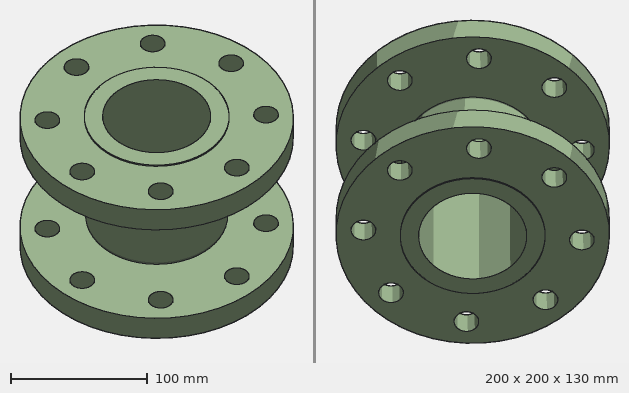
import cadquery as cq

total_height = 130.0
bore_diameter = 79.0

flange_diameter = 200.0
flange_thickness = 20.0
raised_face_diameter = 106.0
raised_face_height = 1.2

neck_diameter = 81.5
barrel_diameter = 104.0
barrel_height = 72.0
neck_fillet = 3.2
barrel_fillet = 3.0

bolt_count = 8
bolt_hole_diameter = 18.0
bolt_circle_diameter = 160.0

flange_outer_z = total_height / 2 - raised_face_height
flange_inner_z = flange_outer_z - flange_thickness


def disc(diameter, bottom_z, top_z):
    """Solid cylinder on the Z axis between two heights."""
    return cq.Workplane("XY", origin=(0, 0, bottom_z)).circle(diameter / 2).extrude(top_z - bottom_z)


def make_body():
    """Revolved barrel and necks, with rounded rims and necks blended into the barrel ends."""
    neck_radius = neck_diameter / 2
    barrel_radius = barrel_diameter / 2
    barrel_end_z = barrel_height / 2
    upper_half = (
        cq.Workplane("XZ")
        .lineTo(barrel_radius, 0)
        .lineTo(barrel_radius, barrel_end_z - barrel_fillet)
        .radiusArc((barrel_radius - barrel_fillet, barrel_end_z), -barrel_fillet)
        .lineTo(neck_radius + neck_fillet, barrel_end_z)
        .radiusArc((neck_radius, barrel_end_z + neck_fillet), neck_fillet)
        .lineTo(neck_radius, flange_inner_z)
        .lineTo(0, flange_inner_z)
        .close()
        .revolve(360, (0, 0, 0), (0, 1, 0))
    )
    return upper_half.union(upper_half.mirror("XY"))


def make_flange():
    """Upper flange with its raised sealing face and ring of bolt holes."""
    plate = disc(flange_diameter, flange_inner_z, flange_outer_z)
    raised_face = disc(raised_face_diameter, flange_outer_z, total_height / 2)
    half_pitch = 360 / bolt_count / 2
    bolt_holes = (
        cq.Workplane("XY", origin=(0, 0, flange_inner_z))
        .polarArray(bolt_circle_diameter / 2, half_pitch, 360, bolt_count)
        .circle(bolt_hole_diameter / 2)
        .extrude(flange_thickness)
    )
    return plate.cut(bolt_holes).union(raised_face)


upper_flange = make_flange()
lower_flange = upper_flange.mirror("XY")
bore = disc(bore_diameter, -total_height / 2, total_height / 2)

result = make_body().union(upper_flange).union(lower_flange).cut(bore)